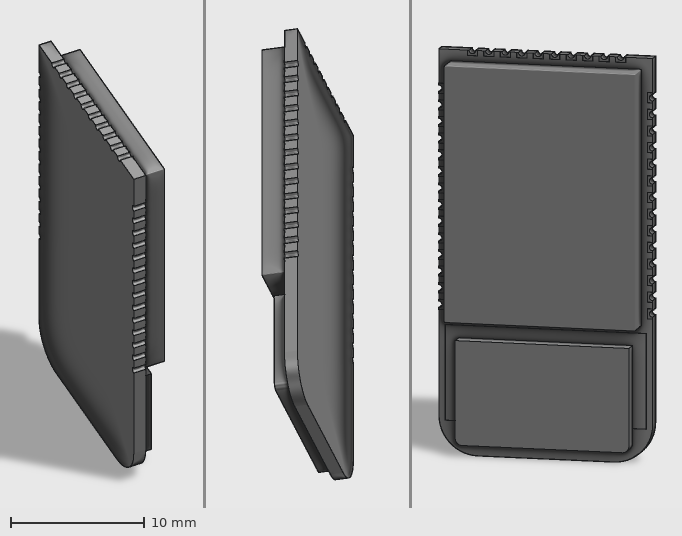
import cadquery as cq

overall_depth = 3.0
board_thickness = overall_depth / 3

board_width = 16.5
board_height = 31.0
board_corner_radius = 3.0

notch_radius = 0.25
notch_pitch = 1.27
top_notch_count = 10
top_notch_row_shift = -0.05
side_notch_count = 14
side_notch_start_drop = 3.0
pad_length = 0.78
pad_reach = 0.4
pad_thickness = 0.035

shield_side_inset = 0.87
shield_top_inset = 0.87
shield_height = 19.65
shield_edge_radius = 0.1

layer_side_inset = 0.5
layer_top_drop = 21.05
layer_height = 7.32
antenna_side_inset = 1.55
antenna_top_drop = 22.0
antenna_height = 8.0
antenna_thickness = 1.2
antenna_corner_radius = 0.5

top_z = board_height / 2
side_x = board_width / 2
top_notch_places = [
    (top_notch_row_shift + (i - (top_notch_count - 1) / 2) * notch_pitch, top_z)
    for i in range(top_notch_count)
]
side_notch_places = [
    (side * side_x, top_z - side_notch_start_drop - i * notch_pitch)
    for side in (-1, 1)
    for i in range(side_notch_count)
]


def slab(width, height, top_drop, start_y, thickness):
    """Box centred in X, hanging top_drop below the board top, growing toward +Y."""
    return cq.Workplane("XY").box(width, thickness, height, centered=(True, False, True)).translate(
        (0, start_y, top_z - top_drop - height / 2)
    )


def along_y(places, start_y):
    """Front-facing workplane holding the given (x, z) places; it extrudes toward -Y."""
    return cq.Workplane("XZ", origin=(0, start_y, 0)).pushPoints(places)


def make_board():
    board = slab(board_width, board_height, 0, 0, board_thickness)
    return board.edges("|Y and <Z").fillet(board_corner_radius)


def make_pads():
    """Contact pads around the notches, trimmed flush with the board edges."""
    pad_back_y = board_thickness + pad_thickness
    top_pads = along_y(top_notch_places, pad_back_y).rect(pad_length, 2 * pad_reach).extrude(pad_thickness)
    side_pads = along_y(side_notch_places, pad_back_y).rect(2 * pad_reach, pad_length).extrude(pad_thickness)
    board_envelope = slab(board_width, board_height, 0, 0, overall_depth)
    return top_pads.union(side_pads).intersect(board_envelope)


def make_notches():
    notch_places = top_notch_places + side_notch_places
    return along_y(notch_places, overall_depth).circle(notch_radius).extrude(overall_depth)


def make_shield():
    shield_width = board_width - 2 * shield_side_inset
    shield_depth = overall_depth - board_thickness
    shield = slab(shield_width, shield_height, shield_top_inset, board_thickness, shield_depth)
    return shield.edges("|Y or >Y").fillet(shield_edge_radius)


def make_antenna():
    layer_width = board_width - 2 * layer_side_inset
    layer = slab(layer_width, layer_height, layer_top_drop, board_thickness, pad_thickness)
    antenna_width = board_width - 2 * antenna_side_inset
    block = slab(antenna_width, antenna_height, antenna_top_drop, board_thickness, antenna_thickness)
    block = block.edges("|Y and <Z").fillet(antenna_corner_radius)
    return layer.union(block)


result = make_board().union(make_pads()).cut(make_notches()).union(make_shield()).union(make_antenna())